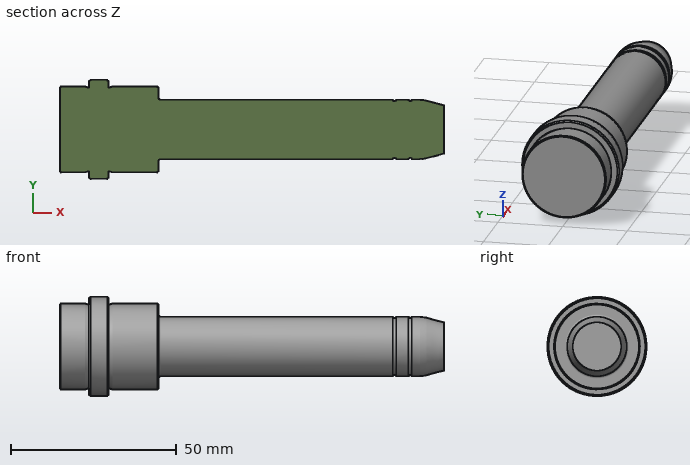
import cadquery as cq
import math

length = 116.0
head_radius = 26.0 / 2
collar_radius = 30.0 / 2
shank_radius = 18.0 / 2

end_chamfer = 0.3
collar_start = 8.8
collar_end = 14.7
collar_chamfer = 0.5
head_end = 29.8
shank_fillet = 0.7

relief_width = 1.2
relief_depth = 0.3

groove_starts = (100.5, 105.2)
groove_width = 1.0
groove_depth = 0.3

taper_angle = math.radians(15)
blend_start = 108.7
blend_radius = 7.5


def cylinder(radius, start, end):
    return cq.Workplane("YZ", origin=(start, 0, 0)).circle(radius).extrude(end - start)


def groove_cutter(start):
    """Ring with a shallow round-bottomed section."""
    return (
        cq.Workplane("XY")
        .moveTo(start, shank_radius)
        .threePointArc(
            (start + groove_width / 2, shank_radius - groove_depth),
            (start + groove_width, shank_radius),
        )
        .close()
        .revolve(360, (0, 0, 0), (1, 0, 0))
    )


def relief_cutter(collar_face, outer_edge):
    """Ring with a triangular section, deepest against the collar face."""
    return (
        cq.Workplane("XY")
        .moveTo(outer_edge, head_radius)
        .lineTo(collar_face, head_radius - relief_depth)
        .lineTo(collar_face, head_radius)
        .close()
        .revolve(360, (0, 0, 0), (1, 0, 0))
    )


def tapered_shank():
    def blend_point(angle):
        return (
            blend_start + blend_radius * math.sin(angle),
            shank_radius - blend_radius * (1 - math.cos(angle)),
        )

    blend_end = blend_point(taper_angle)
    tip_radius = blend_end[1] - (length - blend_end[0]) * math.tan(taper_angle)
    return (
        cq.Workplane("XY")
        .lineTo(0, shank_radius)
        .lineTo(blend_start, shank_radius)
        .threePointArc(blend_point(taper_angle / 2), blend_end)
        .lineTo(length, tip_radius)
        .lineTo(length, 0)
        .close()
        .revolve(360, (0, 0, 0), (1, 0, 0))
    )


head = cylinder(head_radius, 0, head_end).faces("<X or >X").chamfer(end_chamfer)
head = head.cut(relief_cutter(collar_start, collar_start - relief_width))
head = head.cut(relief_cutter(collar_end, collar_end + relief_width))

collar = cylinder(collar_radius, collar_start, collar_end).faces("<X or >X").chamfer(collar_chamfer)

pin = head.union(collar).union(tapered_shank())

corner = cq.selectors.BoxSelector(
    (head_end - 0.1, -head_radius, -head_radius),
    (head_end + 0.1, head_radius, head_radius),
)
pin = pin.faces(corner).edges("%CIRCLE").edges(cq.selectors.RadiusNthSelector(0)).fillet(shank_fillet)

for groove_start in groove_starts:
    pin = pin.cut(groove_cutter(groove_start))

result = pin